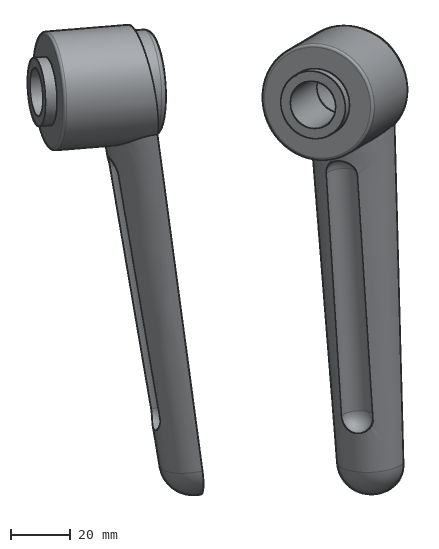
import cadquery as cq
import math

TOTAL_LENGTH = 165.0
TOTAL_DEPTH = 56.0

HUB_RADIUS = 20.0
HUB_EDGE_ROUND = 1.0
BOSS_RADIUS = 11.5
BOSS_LENGTH = 4.0
BORE_RADIUS = 8.1
BORE_DEPTH = 24.8
DRILL_POINT_ANGLE = 118.0

CAP_RADIUS = 18.0
CAP_APEX_Y = 38.1
CAP_RIM_Y = 36.1
CAP_EDGE_ROUND = 2.1

BACK_SLOPE = 7.8
HANDLE_ROOT_RADIUS = 15.0
HANDLE_TIP_RADIUS = 11.5

GROOVE_RADIUS = 5.6
GROOVE_TOP_Z = -29.7
GROOVE_BOTTOM_Z = -115.8
GROOVE_AXIS_DEPTH = 1.5

slope = math.radians(BACK_SLOPE)
tip_center_y = TOTAL_DEPTH - BOSS_LENGTH - HANDLE_TIP_RADIUS * math.sin(slope)
tip_center_z = HUB_RADIUS - TOTAL_LENGTH + HANDLE_TIP_RADIUS
root_y = tip_center_y + tip_center_z * math.tan(slope)
handle_direction = cq.Vector(0, math.sin(slope), -math.cos(slope))
front_direction = cq.Vector(0, -math.cos(slope), -math.sin(slope))
handle_root = cq.Vector(0, root_y, 0)
handle_length = -tip_center_z / math.cos(slope)


def cylinder_along_y(radius, start_y, end_y):
    length = end_y - start_y
    return cq.Workplane("XZ", origin=(0, start_y, 0)).circle(radius).extrude(-length)


def front_of_back_plane():
    """Large block filling the space in front of the sloping back plane."""
    size = 3 * TOTAL_LENGTH
    plane = cq.Plane(handle_root, xDir=(1, 0, 0), normal=front_direction)
    return cq.Workplane(plane).rect(size, size).extrude(size)


def ball(radius, center):
    return cq.Workplane("XY").sphere(radius).translate(center)


def make_hub():
    hub = cylinder_along_y(HUB_RADIUS, 0, TOTAL_DEPTH)
    return hub.faces("<Y").edges().fillet(HUB_EDGE_ROUND)


def make_handle():
    """Cone from the hub axis to the tip, ending in a sphere."""
    cone = cq.Solid.makeCone(
        HANDLE_ROOT_RADIUS, HANDLE_TIP_RADIUS, handle_length, handle_root, handle_direction
    )
    tip_center = handle_root + handle_direction * handle_length
    return cq.Workplane(cone).union(ball(HANDLE_TIP_RADIUS, tip_center))


def make_cap():
    """Revolved about the hub axis; sketch coordinates are X and Y."""
    rise = CAP_APEX_Y - CAP_RIM_Y
    dome_radius = (CAP_RADIUS**2 + rise**2) / (2 * rise)
    half_way = CAP_RADIUS / 2
    half_way_y = CAP_APEX_Y - dome_radius + math.sqrt(dome_radius**2 - half_way**2)
    cap = (
        cq.Workplane("XY")
        .moveTo(0, root_y / 2)
        .lineTo(CAP_RADIUS, root_y / 2)
        .lineTo(CAP_RADIUS, CAP_RIM_Y)
        .threePointArc((half_way, half_way_y), (0, CAP_APEX_Y))
        .close()
        .revolve(360, (0, 0, 0), (0, 1, 0))
    )
    return cap.faces(">Y").edges("%CIRCLE").fillet(CAP_EDGE_ROUND)


def groove_axis_point(z):
    """Point below the crown of the tapered handle, at the given height."""
    root_offset = HANDLE_ROOT_RADIUS - GROOVE_AXIS_DEPTH
    tip_offset = HANDLE_TIP_RADIUS - GROOVE_AXIS_DEPTH
    start = handle_root + front_direction * root_offset
    end = handle_root + handle_direction * handle_length + front_direction * tip_offset
    return start + (end - start) * ((z - start.z) / (end.z - start.z))


def make_groove():
    top = groove_axis_point(GROOVE_TOP_Z)
    bottom = groove_axis_point(GROOVE_BOTTOM_Z)
    axis = bottom - top
    channel = cq.Workplane(cq.Solid.makeCylinder(GROOVE_RADIUS, axis.Length, top, axis))
    return channel.union(ball(GROOVE_RADIUS, top)).union(ball(GROOVE_RADIUS, bottom))


def make_bore():
    """Blind hole with a drill-point bottom, entering through the boss."""
    point_depth = BORE_RADIUS / math.tan(math.radians(DRILL_POINT_ANGLE / 2))
    bottom_y = BORE_DEPTH - BOSS_LENGTH
    return (
        cq.Workplane("XY")
        .polyline([
            (0, -BOSS_LENGTH),
            (BORE_RADIUS, -BOSS_LENGTH),
            (BORE_RADIUS, bottom_y),
            (0, bottom_y + point_depth),
        ])
        .close()
        .revolve(360, (0, 0, 0), (0, 1, 0))
    )


handle = make_handle().cut(make_groove())
lever = make_hub().union(handle).intersect(front_of_back_plane())
boss = cylinder_along_y(BOSS_RADIUS, -BOSS_LENGTH, root_y / 2)
result = lever.union(make_cap()).union(boss).cut(make_bore())